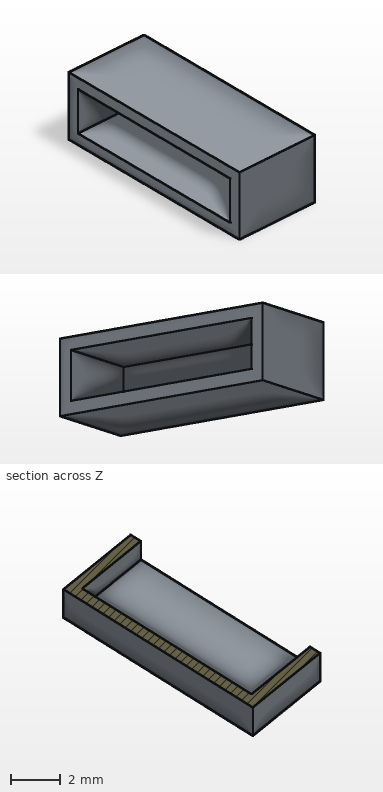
import cadquery as cq

length = 10.1
depth = 4.1
height = 3.2

wall = 0.55


def housing_block():
    """Solid outer block, centred on the origin."""
    return cq.Workplane("XY").box(length, depth, height)


def open_front_cavity(block):
    """Hollow the block from its -Y face, leaving the closed end as thick as the walls."""
    return (
        block.faces("<Y")
        .workplane(centerOption="CenterOfMass")
        .rect(length - 2 * wall, height - 2 * wall)
        .cutBlind(-(depth - wall))
    )


result = open_front_cavity(housing_block())